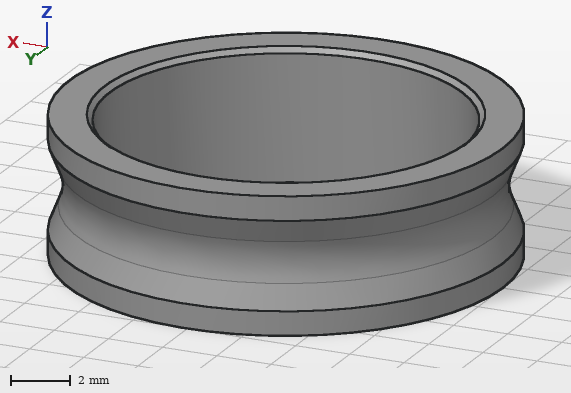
import cadquery as cq
import math

outer_radius = 16 / 2
height = 5.0
bore_radius = 13.0 / 2
bore_chamfer = 0.2

groove_floor_radius = 7.5
groove_arc_radius = 2.0
flank_angle = math.radians(22)

arc_half_height = groove_arc_radius * math.sin(flank_angle)
arc_end_radius = groove_floor_radius + groove_arc_radius * (1 - math.cos(flank_angle))
mouth_half_height = arc_half_height + (outer_radius - arc_end_radius) / math.tan(flank_angle)

half_height = height / 2
chamfer_radius = bore_radius + bore_chamfer
chamfer_half_height = half_height - bore_chamfer

profile = (
    cq.Workplane("XZ")
    .moveTo(-chamfer_radius, -half_height)
    .lineTo(-outer_radius, -half_height)
    .lineTo(-outer_radius, -mouth_half_height)
    .lineTo(-arc_end_radius, -arc_half_height)
    .threePointArc((-groove_floor_radius, 0), (-arc_end_radius, arc_half_height))
    .lineTo(-outer_radius, mouth_half_height)
    .lineTo(-outer_radius, half_height)
    .lineTo(-chamfer_radius, half_height)
    .lineTo(-bore_radius, chamfer_half_height)
    .lineTo(-bore_radius, -chamfer_half_height)
    .close()
)

result = profile.revolve(360, (0, 0, 0), (0, 1, 0))